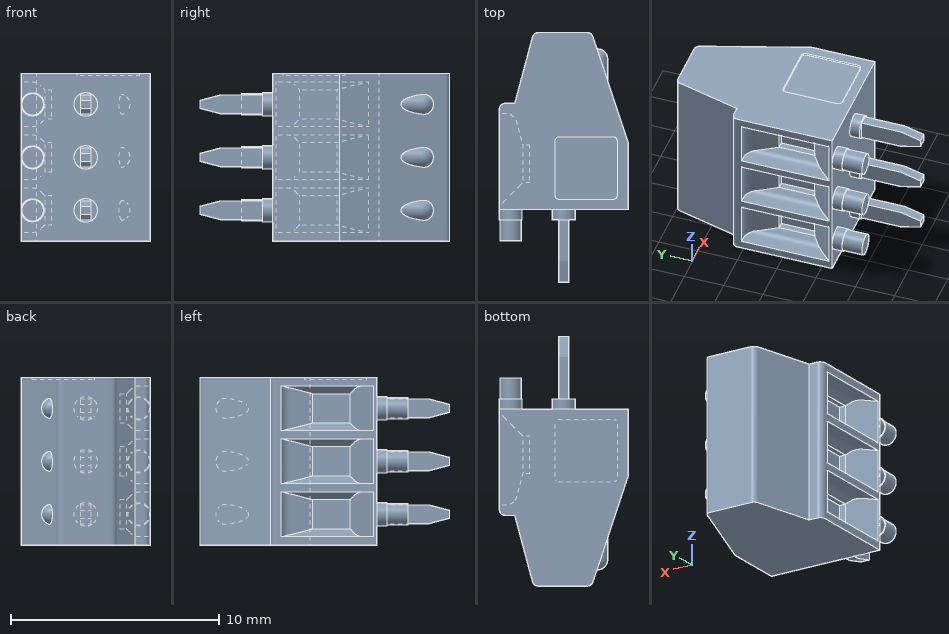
import cadquery as cq
import math


HOUSING_WIDTH = 6.2
HOUSING_HEIGHT = 8.51
POLE_COUNT = 3
POLE_PITCH = 2.55
END_WALL_ALLOWANCE = 0.45
HOUSING_LENGTH = POLE_COUNT * POLE_PITCH + END_WALL_ALLOWANCE
SHOULDER_HEIGHT = 5.11
SHOULDER_DEPTH = 0.75
ENTRY_SLOPE_ANGLE = 15
BACK_WALL_HEIGHT = 3.22
TOP_BACK_X = 4.44
EDGE_RADIUS = 0.3

FUNNEL_DEPTH = 1.14
FUNNEL_BOTTOM_Y = 0.15
FUNNEL_TOP_Y = 4.61
FUNNEL_MOUTH_LENGTH = 2.15
FUNNEL_FLOOR_TOP_Y = 3.1
FUNNEL_FLOOR_LENGTH = 1.4
FUNNEL_TOP_SLOPE_ANGLE = 15
FUNNEL_WALL_RADIUS = 0.55
WELL_DEPTH = 0.32

RECESS_SIZE = 3
RECESS_X = 2.68
RECESS_Y = 0.49
RECESS_DEPTH = 0.1
RECESS_CORNER_RADIUS = 0.2

COLLAR_HEIGHT = 0.49
PEG_COLLAR_RADIUS = 0.55
PEG_RADIUS = 0.52
PEG_LENGTH = 1.5
PIN_COLLAR_RADIUS = 0.56
PIN_THICKNESS = 0.49
PIN_WIDTH = 0.91
PIN_TIP_WIDTH = 0.38
PIN_LENGTH = 3.49
PIN_TAPER_LENGTH = 1.0

POST_RADIUS = 0.5
POST_X = 4.72
POST_STRAIGHT_TOP = 7.22
POST_BASE_Y = 4.8

MIDDLE_Z = HOUSING_LENGTH / 2
POLE_POSITIONS = [MIDDLE_Z + (i - (POLE_COUNT - 1) / 2) * POLE_PITCH for i in range(POLE_COUNT)]


def rod(x, z, radius, start_y, end_y):
    """Round rod along Y."""
    axis = cq.Vector(0, 1, 0)
    return cq.Workplane(cq.Solid.makeCylinder(radius, end_y - start_y, cq.Vector(x, start_y, z), axis))


def housing():
    slope_run = (HOUSING_HEIGHT - SHOULDER_HEIGHT) * math.tan(math.radians(ENTRY_SLOPE_ANGLE))
    top_front_x = SHOULDER_DEPTH + slope_run
    outline = [
        (0, 0),
        (HOUSING_WIDTH, 0),
        (HOUSING_WIDTH, BACK_WALL_HEIGHT),
        (TOP_BACK_X, HOUSING_HEIGHT),
        (top_front_x, HOUSING_HEIGHT),
        (SHOULDER_DEPTH, SHOULDER_HEIGHT),
        (0, SHOULDER_HEIGHT),
    ]
    block = cq.Workplane("XY").polyline(outline).close().extrude(HOUSING_LENGTH)
    rounded_corners = [
        (TOP_BACK_X, HOUSING_HEIGHT),
        (top_front_x, HOUSING_HEIGHT),
        (0, SHOULDER_HEIGHT),
    ]
    for x, y in rounded_corners:
        corner = cq.selectors.NearestToPointSelector((x, y, MIDDLE_Z))
        block = block.edges(corner).fillet(EDGE_RADIUS)
    return block


def funnel(z):
    """Wire entry: straight at the mouth, then curving into sloping walls around a flat-floored well."""
    top_slope = math.tan(math.radians(FUNNEL_TOP_SLOPE_ANGLE))
    top_corner = (FUNNEL_DEPTH - (FUNNEL_TOP_Y - FUNNEL_FLOOR_TOP_Y) * top_slope, FUNNEL_TOP_Y)
    side_outline = [
        (0, FUNNEL_BOTTOM_Y),
        (FUNNEL_DEPTH, FUNNEL_BOTTOM_Y + FUNNEL_DEPTH),
        (FUNNEL_DEPTH, FUNNEL_FLOOR_TOP_Y),
        top_corner,
        (0, FUNNEL_TOP_Y),
    ]
    side_profile = cq.Workplane("XY").polyline(side_outline).close().extrude(HOUSING_LENGTH)
    top_wall_edge = cq.selectors.NearestToPointSelector((*top_corner, MIDDLE_Z))
    side_profile = side_profile.edges(top_wall_edge).fillet(FUNNEL_WALL_RADIUS)

    half_mouth = FUNNEL_MOUTH_LENGTH / 2
    half_floor = FUNNEL_FLOOR_LENGTH / 2
    wall_corner_x = FUNNEL_DEPTH - (half_mouth - half_floor)
    end_outline = [
        (0, z - half_mouth),
        (wall_corner_x, z - half_mouth),
        (FUNNEL_DEPTH, z - half_floor),
        (FUNNEL_DEPTH, z + half_floor),
        (wall_corner_x, z + half_mouth),
        (0, z + half_mouth),
    ]
    end_profile = cq.Workplane("XZ").polyline(end_outline).close().extrude(-HOUSING_HEIGHT)
    for side in (-1, 1):
        corner = (wall_corner_x, HOUSING_HEIGHT / 2, z + side * half_mouth)
        end_wall_edge = cq.selectors.NearestToPointSelector(corner)
        end_profile = end_profile.edges(end_wall_edge).fillet(FUNNEL_WALL_RADIUS)

    well_bottom_y = FUNNEL_BOTTOM_Y + FUNNEL_DEPTH
    well = cq.Workplane("XY").box(
        FUNNEL_DEPTH + WELL_DEPTH,
        FUNNEL_FLOOR_TOP_Y - well_bottom_y,
        FUNNEL_FLOOR_LENGTH,
        centered=(False, False, True),
    ).translate((0, well_bottom_y, z))
    return side_profile.intersect(end_profile).union(well)


def recess():
    return (
        cq.Workplane("XY", origin=(RECESS_X, RECESS_Y, HOUSING_LENGTH))
        .rect(RECESS_SIZE, RECESS_SIZE, centered=False)
        .extrude(-RECESS_DEPTH)
        .edges("|Z")
        .fillet(RECESS_CORNER_RADIUS)
    )


def peg(z):
    x = PEG_COLLAR_RADIUS
    collar = rod(x, z, PEG_COLLAR_RADIUS, -COLLAR_HEIGHT, 0)
    return collar.union(rod(x, z, PEG_RADIUS, -PEG_LENGTH, 0))


def solder_pin(z):
    x = HOUSING_WIDTH / 2
    taper_start = PIN_TAPER_LENGTH - PIN_LENGTH
    blade_outline = [
        (-PIN_WIDTH / 2, 0),
        (-PIN_WIDTH / 2, taper_start),
        (-PIN_TIP_WIDTH / 2, -PIN_LENGTH),
        (PIN_TIP_WIDTH / 2, -PIN_LENGTH),
        (PIN_WIDTH / 2, taper_start),
        (PIN_WIDTH / 2, 0),
    ]
    blade_plane = cq.Plane(origin=(x, 0, z), xDir=(0, 0, 1), normal=(-1, 0, 0))
    blade = cq.Workplane(blade_plane).polyline(blade_outline).close().extrude(PIN_THICKNESS / 2, both=True)
    return blade.union(rod(x, z, PIN_COLLAR_RADIUS, -COLLAR_HEIGHT, 0))


def post(z):
    dome = cq.Workplane("XY").sphere(POST_RADIUS).translate((POST_X, POST_STRAIGHT_TOP, z))
    return dome.union(rod(POST_X, z, POST_RADIUS, POST_BASE_Y, POST_STRAIGHT_TOP))


result = housing().cut(recess())
for pole_z in POLE_POSITIONS:
    result = result.cut(funnel(pole_z))
    result = result.union(peg(pole_z)).union(solder_pin(pole_z)).union(post(pole_z))